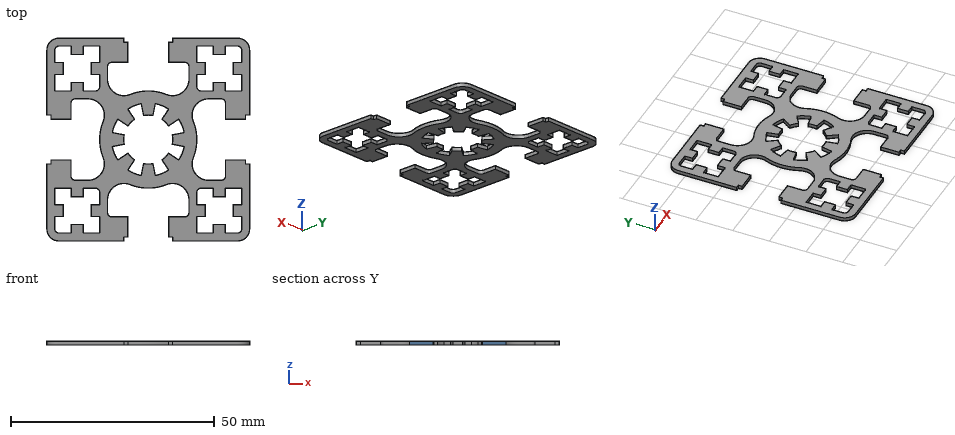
import cadquery as cq
import math

side = 50.0
thickness = 1.0
half = side / 2
outer_radius = 3.0

mouth_half = 5.0
step_half = 6.0
step_depth = 1.0
lip_depth = 6.0
cavity_half = 10.0
cavity_corner_radius = 1.0
cavity_bottom_radius = 4.0

ring_radius = 12.0
tooth_root_radius = 9.0
tooth_tip_radius = 6.0
tooth_count = 8
tooth_pitch = 360 / tooth_count

wall = 2.0
window_side = half - cavity_half - 2 * wall
window_center = half - wall - window_side / 2
window_outer_radius = 1.0
window_inner_radius = 1.0
tab_width = 3.0
tab_length = 2.1

quarter_turns = (0, 90, 180, 270)


def polar(radius, angle):
    """Point at a radius and an angle in degrees from the X axis."""
    return radius * math.cos(math.radians(angle)), radius * math.sin(math.radians(angle))


def turned(body, angle):
    """Body turned about the plate axis."""
    return body.rotate((0, 0, 0), (0, 0, 1), angle)


def make_plate():
    return cq.Workplane("XY").rect(side, side).extrude(thickness).edges("|Z").fillet(outer_radius)


def make_slot():
    """Void of the T-slot on the +Y side; its floor runs along the central ring."""
    lip_y = half - lip_depth
    arc_x = cavity_half - cavity_bottom_radius
    arc_distance = ring_radius + cavity_bottom_radius
    arc_y = math.sqrt(arc_distance**2 - arc_x**2)
    touch_x = arc_x * ring_radius / arc_distance
    touch_y = arc_y * ring_radius / arc_distance
    touch_angle = math.degrees(math.atan2(arc_y, arc_x)) - 180
    mid_dx, mid_dy = polar(cavity_bottom_radius, touch_angle / 2)
    mid_x = arc_x + mid_dx
    mid_y = arc_y + mid_dy

    cavity = (
        cq.Workplane("XY")
        .moveTo(-cavity_half, lip_y)
        .lineTo(-cavity_half, arc_y)
        .threePointArc((-mid_x, mid_y), (-touch_x, touch_y))
        .threePointArc((0, ring_radius), (touch_x, touch_y))
        .threePointArc((mid_x, mid_y), (cavity_half, arc_y))
        .lineTo(cavity_half, lip_y)
        .close()
        .extrude(thickness)
        .edges("|Z and >Y")
        .fillet(cavity_corner_radius)
    )
    mouth = (
        cq.Workplane("XY")
        .center(0, half - lip_depth / 2)
        .rect(2 * mouth_half, lip_depth)
        .extrude(thickness)
    )
    step = (
        cq.Workplane("XY")
        .center(0, half - step_depth / 2)
        .rect(2 * step_half, step_depth)
        .extrude(thickness)
    )
    return cavity.union(mouth).union(step)


def make_window():
    """Void of the window in the +X +Y corner."""
    window = cq.Workplane("XY").rect(window_side, window_side).extrude(thickness)
    window = window.edges("|Z and >(1, 1, 0)").fillet(window_outer_radius)
    window = window.edges("|Z and <(1, 1, 0)").fillet(window_inner_radius)
    tab = (
        cq.Workplane("XY")
        .center(0, (window_side - tab_length) / 2)
        .rect(tab_width, tab_length)
        .extrude(thickness)
    )
    for angle in quarter_turns:
        window = window.cut(turned(tab, angle))
    return window.translate((window_center, window_center, 0))


def make_bore():
    """Void of the toothed bore: teeth and gaps have equal angles and radial flanks."""
    bore = cq.Workplane("XY").moveTo(*polar(tooth_tip_radius, -tooth_pitch / 4))
    for tooth in range(tooth_count):
        angle = tooth * tooth_pitch
        flank = angle + tooth_pitch / 4
        next_flank = angle + tooth_pitch * 3 / 4
        bore = bore.threePointArc(polar(tooth_tip_radius, angle), polar(tooth_tip_radius, flank))
        bore = bore.lineTo(*polar(tooth_root_radius, flank))
        gap_middle = angle + tooth_pitch / 2
        bore = bore.threePointArc(
            polar(tooth_root_radius, gap_middle), polar(tooth_root_radius, next_flank)
        )
        if tooth < tooth_count - 1:
            bore = bore.lineTo(*polar(tooth_tip_radius, next_flank))
    return bore.close().extrude(thickness)


slot = make_slot()
window = make_window()
result = make_plate().cut(make_bore())
for angle in quarter_turns:
    result = result.cut(turned(slot, angle)).cut(turned(window, angle))